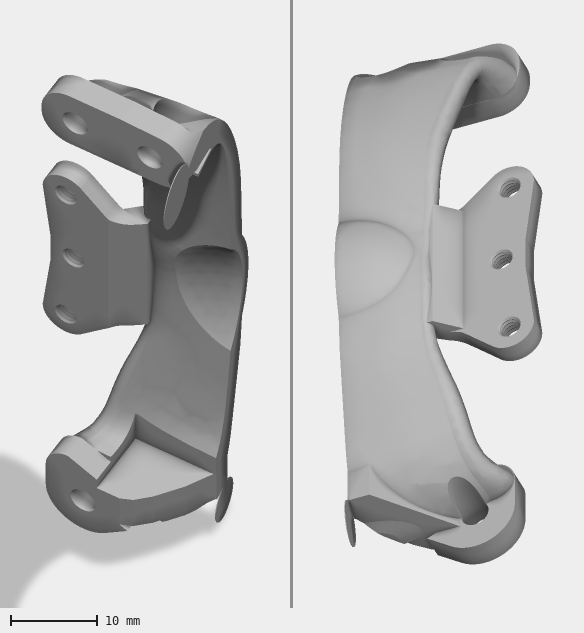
import cadquery as cq
import math


END_FACE_ANGLE = math.radians(9.46)
END_FACE_X = 25.23
OVERSHOOT = 4.0
TRIM_SIZE = 120.0

PLATE_THICKNESS = 3.15
BOLT_HOLE_DIAMETER = 3.4
BOLT_HEAD_DIAMETER = 6.5
BOLT_HEAD_CLEARANCE = 12.0

UPPER_HOLE_X = 10.1
UPPER_HOLE_SPACING = 10.0
UPPER_HOLE_Z = 36.9
UPPER_PLATE_LEFT = 5.6
UPPER_PLATE_TOP = 41.25
UPPER_PLATE_BOTTOM = 32.85
UPPER_FLAT_LENGTH = 0.9
UPPER_RIGHT_X = 21.3
UPPER_RIGHT_TIP = 25.3
UPPER_RIGHT_DROP = 0.25
UPPER_CORNER_BOTTOM = 33.5
UPPER_CORNER_DEPTH = 4.0

FOOT_HOLE_X = 11.15
FOOT_HOLE_Z = -29.6
FOOT_RADIUS = 5.0
FOOT_TOP = -22.95
FOOT_CORNER_RADIUS = 3.0
FOOT_FLANK_ANGLE = math.radians(-54)
FOOT_FLANK_END_X = 17.1
FOOT_RIGHT_X = 16.05

BLOCK_BOTTOM = -30.95
BLOCK_BACK = 12.3
BLOCK_FRONT_BENDS = [(17.5, 0.6), (19.2, 2.2), (21.6, 5.4)]
BLOCK_FRONT_END = (23.6, 9.0)
BLOCK_BACK_LEFT_X = 20.5
BLOCK_LEFT_X = 13.0
STEP_FLOOR = -26.3
STEP_DEPTH = 8.7
STEP_HEIGHT = 4.5
BLOCK_FRONT_DEPTH = 9.0

TAB_FRONT = 9.45
TAB_THICKNESS = 2.5
TAB_MIDDLE_Z = -0.25
TAB_HOLE_DIAMETER = 2.52
THREAD_DIAMETER = 2.9
THREAD_PITCH = 0.5
THREAD_COUNT = 5
TAB_LOBE_X = 3.2
TAB_LOBE_Z = 10.6
TAB_LOBE_RADIUS = 3.1
TAB_MIDDLE_HOLE_X = 4.2
TAB_HOLES = [
    (TAB_LOBE_X, TAB_LOBE_Z),
    (TAB_MIDDLE_HOLE_X, 0),
    (TAB_LOBE_X, -TAB_LOBE_Z),
]
TAB_WAIST_X = 1.15
TAB_WAIST_HALF = 2.1
TAB_NECK_HALF = 8.95
TAB_NECK_X = 10.9
TAB_NECK_FILLET = 3.6
TAB_FLANK_ANGLE = math.radians(50)
TAB_FLANK_END = (8.6, 9.9)
TAB_BEND_X = 8.9
WEB_BEND = (11.25, 10.65)
WEB_END = (12.8, 11.75)
WEB_BACK = 14.5
WEB_BACK_LEFT_X = 11.7

BULGE_CENTRE = (23.0, 4.83, 0.3)
BULGE_RADIUS = 14.0
HOLLOW_CENTRE = (24.5, 4.5, -0.2)
HOLLOW_RADIUS = 12.65

DISC_THICKNESS = 0.1
UPPER_DISC_RADIUS = 3.93
UPPER_DISC_Y = -3.55
LOWER_DISC_RADIUS = 2.75
LOWER_DISC_Y = 11.36
LOWER_DISC_Z = -33.65

ARM_SECTIONS = [
    (5.7, (2.0, 32.9), (2.0, 38.4), 0.3, 2.4),
    (6.4, (5.0, 32.7), (5.6, 37.2), 0.4, 1.8),
    (7.2, (7.3, 32.2), (8.4, 35.4), 0.8, 1.5),
    (8.4, (9.1, 30.0), (11.6, 30.4), 1.6, 1.5),
    (10.3, (11.7, 19.8), (14.6, 19.8), 1.2, 1.7),
    (11.3, (12.5, 9.2), (14.9, 9.2), 0.8, 1.9),
    (12.0, (13.2, 0.0), (15.2, 0.0), 0.6, 1.8),
    (11.8, (12.9, -6.0), (15.1, -6.0), 0.8, 1.8),
    (10.8, (11.0, -14.0), (13.8, -15.0), 1.4, 1.7),
    (8.9, (8.2, -21.6), (11.6, -22.9), 1.6, 2.0),
    (8.6, (7.2, -23.0), (10.3, -25.0), 1.2, 2.6),
    (7.9, (5.6, -23.8), (8.4, -26.9), 0.8, 3.2),
    (7.2, (2.0, -23.6), (2.0, -28.3), 0.6, 3.2),
]
ARM_RIGHT_X = 24.5
ARM_BOTTOM = -31.4
ARCH_SHARE = 0.75


def end_face_x(y):
    """X of the slanted end face at a given Y."""
    return END_FACE_X - math.tan(END_FACE_ANGLE) * y


def front_sketch(y=0.0):
    """Workplane seen from -Y: local x is X, local y is Z, extrusion runs towards -Y."""
    return cq.Workplane("XZ", origin=(0, y, 0))


def rod(x, z, diameter, y_start, length):
    """Round bar along +Y."""
    return front_sketch(y_start).center(x, z).circle(diameter / 2).extrude(-length)


def arm_section(left_x, front, back, front_rise, back_rise):
    """Closed wire of one arm section, with a round left edge and gently arched faces."""
    dy = back[0] - front[0]
    dz = back[1] - front[1]
    thickness = math.hypot(dy, dz)
    plane = cq.Plane(origin=(0, *front), xDir=(1, 0, 0), normal=(0, -dz, dy))
    edge_x = left_x + thickness / 2
    middle_x = (edge_x + ARM_RIGHT_X) / 2
    right_x = ARM_RIGHT_X + OVERSHOOT
    front_end = (ARM_RIGHT_X, front_rise)
    front_middle = (middle_x, ARCH_SHARE * front_rise)
    back_end = (ARM_RIGHT_X, thickness + back_rise)
    back_middle = (middle_x, thickness + ARCH_SHARE * back_rise)
    return (
        cq.Workplane(plane)
        .moveTo(right_x, front_end[1])
        .lineTo(*front_end)
        .threePointArc(front_middle, (edge_x, 0))
        .threePointArc((left_x, thickness / 2), (edge_x, thickness))
        .threePointArc(back_middle, back_end)
        .lineTo(right_x, back_end[1])
        .close()
        .wire()
        .val()
    )


def arm():
    """Curved arm through all sections, ended at the plate backs and at its lowest level."""
    wires = [arm_section(*section) for section in ARM_SECTIONS]
    body = cq.Workplane(cq.Solid.makeLoft(wires, False))
    front_trim = cq.Workplane().box(TRIM_SIZE, TRIM_SIZE, TRIM_SIZE).translate(
        (0, PLATE_THICKNESS - TRIM_SIZE / 2, 0)
    )
    below_trim = cq.Workplane().box(TRIM_SIZE, TRIM_SIZE, TRIM_SIZE).translate(
        (0, 0, ARM_BOTTOM - TRIM_SIZE / 2)
    )
    return body.cut(front_trim).cut(below_trim)


def bulge():
    """Part of a ball standing out of the back of the arm."""
    ball = cq.Workplane().sphere(BULGE_RADIUS).translate(BULGE_CENTRE)
    behind = cq.Workplane().box(TRIM_SIZE, TRIM_SIZE, TRIM_SIZE).translate(
        (0, WEB_BACK + TRIM_SIZE / 2, 0)
    )
    return ball.intersect(behind)


def hollow():
    """Ball that scoops out the front of the arm opposite the bulge."""
    return cq.Workplane().sphere(HOLLOW_RADIUS).translate(HOLLOW_CENTRE)


def upper_plate(depth):
    """Rounded outline of the upper plate, carried back from Y = 0 to the given depth."""
    middle = (UPPER_PLATE_TOP + UPPER_PLATE_BOTTOM) / 2
    radius = (UPPER_PLATE_TOP - UPPER_PLATE_BOTTOM - UPPER_FLAT_LENGTH) / 2
    flat_top = middle + UPPER_FLAT_LENGTH / 2
    flat_bottom = middle - UPPER_FLAT_LENGTH / 2
    right_top = UPPER_PLATE_TOP - UPPER_RIGHT_DROP
    corner_x = UPPER_PLATE_LEFT + radius
    return (
        front_sketch()
        .moveTo(corner_x, UPPER_PLATE_TOP)
        .lineTo(UPPER_HOLE_X + UPPER_HOLE_SPACING - radius, UPPER_PLATE_TOP)
        .lineTo(UPPER_RIGHT_X, right_top)
        .threePointArc((UPPER_RIGHT_TIP, UPPER_HOLE_Z), (UPPER_RIGHT_X, UPPER_PLATE_BOTTOM))
        .lineTo(corner_x, UPPER_PLATE_BOTTOM)
        .radiusArc((UPPER_PLATE_LEFT, flat_bottom), radius)
        .lineTo(UPPER_PLATE_LEFT, flat_top)
        .radiusArc((corner_x, UPPER_PLATE_TOP), radius)
        .close()
        .extrude(-depth)
    )


def upper_corner():
    """Arm material that would stick out past the round right end of the upper plate."""
    corner = cq.Workplane().box(TRIM_SIZE, UPPER_CORNER_DEPTH, TRIM_SIZE, centered=False).translate(
        (UPPER_RIGHT_X, PLATE_THICKNESS, UPPER_CORNER_BOTTOM)
    )
    return corner.cut(upper_plate(PLATE_THICKNESS + UPPER_CORNER_DEPTH))


def foot():
    """Single-hole plate at the lower end, with a slanted flank towards the block."""
    left = FOOT_HOLE_X - FOOT_RADIUS
    flank_x = FOOT_HOLE_X + FOOT_RADIUS * math.cos(FOOT_FLANK_ANGLE)
    flank_z = FOOT_HOLE_Z + FOOT_RADIUS * math.sin(FOOT_FLANK_ANGLE)
    flank_end_z = flank_z - (FOOT_FLANK_END_X - flank_x) / math.tan(FOOT_FLANK_ANGLE)
    return (
        front_sketch()
        .moveTo(left, FOOT_HOLE_Z)
        .lineTo(left, FOOT_TOP - FOOT_CORNER_RADIUS)
        .radiusArc((left + FOOT_CORNER_RADIUS, FOOT_TOP), FOOT_CORNER_RADIUS)
        .lineTo(FOOT_RIGHT_X, STEP_FLOOR)
        .lineTo(FOOT_RIGHT_X, BLOCK_BOTTOM)
        .lineTo(FOOT_FLANK_END_X, flank_end_z)
        .lineTo(flank_x, flank_z)
        .threePointArc((FOOT_HOLE_X, FOOT_HOLE_Z - FOOT_RADIUS), (left, FOOT_HOLE_Z))
        .close()
        .extrude(-PLATE_THICKNESS)
    )


def block():
    """Low block running from the foot to the slanted end, faceted at the front."""
    outline = [
        (BLOCK_LEFT_X, 0),
        (FOOT_RIGHT_X, 0),
        *BLOCK_FRONT_BENDS,
        BLOCK_FRONT_END,
        (end_face_x(BLOCK_BACK) + OVERSHOOT, BLOCK_FRONT_END[1]),
        (end_face_x(BLOCK_BACK) + OVERSHOOT, BLOCK_BACK),
        (BLOCK_BACK_LEFT_X, BLOCK_BACK),
        (BLOCK_LEFT_X, PLATE_THICKNESS),
    ]
    return (
        cq.Workplane("XY", origin=(0, 0, BLOCK_BOTTOM))
        .polyline(outline)
        .close()
        .extrude(STEP_FLOOR - BLOCK_BOTTOM)
    )


def block_front_space():
    """Empty space in front of the block, between the foot and the slanted end."""
    outline = [
        (FOOT_RIGHT_X, 0),
        *BLOCK_FRONT_BENDS,
        BLOCK_FRONT_END,
        (TRIM_SIZE, BLOCK_FRONT_END[1]),
        (TRIM_SIZE, 0),
    ]
    return (
        cq.Workplane("XY", origin=(0, 0, STEP_FLOOR))
        .polyline(outline)
        .close()
        .extrude(-BLOCK_FRONT_DEPTH)
    )


def step():
    """Clearance above the block, open to the front and to the slanted end."""
    return cq.Workplane().box(TRIM_SIZE, STEP_DEPTH, STEP_HEIGHT, centered=False).translate(
        (BLOCK_LEFT_X, 0, STEP_FLOOR)
    )


def threaded_hole(x, z):
    """Cutter for a threaded hole, with each thread turn as a plain V-shaped ring."""
    minor = TAB_HOLE_DIAMETER / 2
    major = THREAD_DIAMETER / 2
    profile = cq.Workplane("XY").lineTo(major, 0)
    for turn in range(THREAD_COUNT):
        start = turn * THREAD_PITCH
        profile = profile.lineTo(minor, start + THREAD_PITCH / 2).lineTo(major, start + THREAD_PITCH)
    cutter = profile.lineTo(0, THREAD_COUNT * THREAD_PITCH).close()
    return cutter.revolve(360, (0, 0, 0), (0, 1, 0)).translate((x, TAB_FRONT, z))


def tab():
    """Flat three-hole plate with a sloping web that joins the arm."""
    lobe_top = (TAB_LOBE_X, TAB_LOBE_Z + TAB_LOBE_RADIUS)
    flank_x = TAB_LOBE_X + TAB_LOBE_RADIUS * math.cos(TAB_FLANK_ANGLE)
    flank_z = TAB_LOBE_Z + TAB_LOBE_RADIUS * math.sin(TAB_FLANK_ANGLE)
    lobe_left = (TAB_LOBE_X - TAB_LOBE_RADIUS, TAB_LOBE_Z)
    plate = (
        front_sketch(TAB_FRONT)
        .moveTo(*lobe_left)
        .threePointArc(lobe_top, (flank_x, flank_z))
        .lineTo(*TAB_FLANK_END)
        .radiusArc((TAB_NECK_X, TAB_NECK_HALF), -TAB_NECK_FILLET)
        .lineTo(TAB_NECK_X, -TAB_NECK_HALF)
        .radiusArc((TAB_FLANK_END[0], -TAB_FLANK_END[1]), -TAB_NECK_FILLET)
        .lineTo(flank_x, -flank_z)
        .threePointArc((lobe_top[0], -lobe_top[1]), (lobe_left[0], -lobe_left[1]))
        .lineTo(TAB_WAIST_X, -TAB_WAIST_HALF)
        .lineTo(TAB_WAIST_X, TAB_WAIST_HALF)
        .close()
        .extrude(-TAB_THICKNESS)
    )
    web_outline = [
        (TAB_BEND_X, TAB_FRONT),
        WEB_BEND,
        WEB_END,
        (WEB_END[0], WEB_BACK),
        (WEB_BACK_LEFT_X, WEB_BACK),
        (TAB_BEND_X, TAB_FRONT + TAB_THICKNESS),
    ]
    web = (
        cq.Workplane("XY", origin=(0, 0, -TAB_NECK_HALF))
        .polyline(web_outline)
        .close()
        .extrude(2 * TAB_NECK_HALF)
    )
    front_wedge = (
        cq.Workplane("XY", origin=(0, 0, -TRIM_SIZE / 2))
        .polyline([(TAB_BEND_X, TAB_FRONT), WEB_BEND, WEB_END, (WEB_END[0], TAB_FRONT)])
        .close()
        .extrude(TRIM_SIZE)
    )
    body = plate.cut(front_wedge).union(web)
    for hole_x, hole_z in TAB_HOLES:
        body = body.cut(threaded_hole(hole_x, hole_z))
    return body.translate((0, 0, TAB_MIDDLE_Z))


def end_disc(radius, y, z):
    """Thin disc whose outer side lies on the slanted end face."""
    plane = cq.Plane(
        origin=(end_face_x(y), y, z),
        xDir=(0, 0, 1),
        normal=(-math.cos(END_FACE_ANGLE), -math.sin(END_FACE_ANGLE), 0),
    )
    return cq.Workplane(plane).circle(radius).extrude(DISC_THICKNESS)


def beyond_end_face():
    """Everything on the +X side of the slanted end face."""
    half = TRIM_SIZE / 2
    outline = [
        (end_face_x(-half), -half),
        (TRIM_SIZE, -half),
        (TRIM_SIZE, half),
        (end_face_x(half), half),
    ]
    return cq.Workplane("XY", origin=(0, 0, -half)).polyline(outline).close().extrude(TRIM_SIZE)


upper_hole_xs = [UPPER_HOLE_X, UPPER_HOLE_X + UPPER_HOLE_SPACING]

body = arm().union(bulge()).cut(hollow())
for hole_x in upper_hole_xs:
    body = body.cut(
        rod(hole_x, UPPER_HOLE_Z, BOLT_HEAD_DIAMETER, PLATE_THICKNESS, BOLT_HEAD_CLEARANCE)
    )
body = body.cut(upper_corner()).cut(block_front_space()).union(block())
body = body.union(upper_plate(PLATE_THICKNESS)).union(foot()).cut(step()).union(tab())

for hole_x in upper_hole_xs:
    body = body.cut(rod(hole_x, UPPER_HOLE_Z, BOLT_HOLE_DIAMETER, 0, PLATE_THICKNESS))
body = body.cut(rod(FOOT_HOLE_X, FOOT_HOLE_Z, BOLT_HOLE_DIAMETER, 0, BLOCK_BACK))

body = body.cut(beyond_end_face())
body = body.union(end_disc(UPPER_DISC_RADIUS, UPPER_DISC_Y, UPPER_HOLE_Z))
body = body.union(end_disc(LOWER_DISC_RADIUS, LOWER_DISC_Y, LOWER_DISC_Z))

result = body